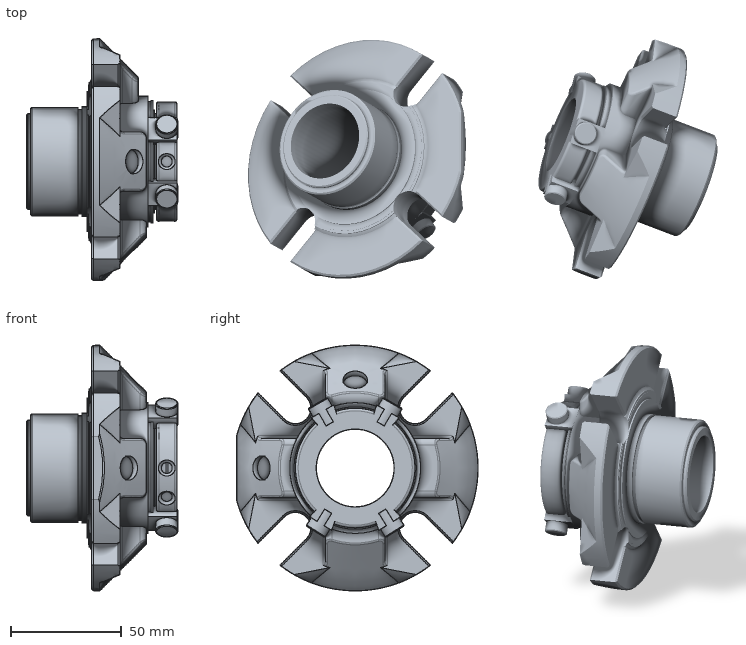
import cadquery as cq
import math


bore_d = 35.0
sleeve_tip_x = -29.25
sleeve_tip_d = 43.18
sleeve_tip_chamfer = 0.6
sleeve_body_x = -27.6
sleeve_body_d = 48.97
sleeve_body_chamfer = 0.7
groove_x = -6.0
groove_d = 47.19
shoulder_x = -4.35
shoulder_d = 49.61
seal_face_x = -1.95
seal_face_d = 63.0
pilot_x = -1.35
pilot_d = 71.2
pilot_face_d = 68.9
pilot_face_step = 0.15
pilot_flare = 1.45

flange_d = 110.87
flange_t = 12.8
flange_edge_chamfer = 0.8
part_width = 109.03
flat_y = flange_d / 2 - part_width
flat_edge_chamfer = 0.45
lug_angles = (0, 90, 180, 270)

cone_start_x = 3.7

facet_apex_half = 19.7
facet_outer_half = 27.6
facet_inner_half = 11.4

slot_offset_angle = 45
slot_w = 14.0
slot_end_r = 38.2

hub_d = 59.0
hub_end_x = 25.5
rib_half_w = 13.4
rib_end_x = 24.8
short_rib_end_x = 21.2
short_rib_angle = 180
rib_corner_r = 3.0
rib_edge_r = 1.2
rib_root_r = 1.2

port_d = 11.0
port_depth = 3.0
ports = ((0, 16.85), (90, 19.3))

plate_d = 54.4
plate_end_x = 26.8
ring_d = 55.2
ring_end_x = 27.8
inner_ring_d = 46.6
inner_ring_end_x = 28.5
neck_d = 43.43
collar_start_x = 29.25
collar_end_x = 38.6
collar_d = 53.92
collar_fillet_r = 1.2

clip_angles = (60, 120, 238, -58)
clip_undercut = 13.0
clip_w = 11.8
clip_inner_r = 23.0
clip_outer_r = 29.5
screw_head_d = 10.0
screw_head_top_r = 33.85
screw_head_chamfer = 0.4
part_length = 68.21
screw_x = sleeve_tip_x + part_length - screw_head_d / 2

set_screw_angles = (-30.5, 0, 90)
set_screw_d = 4.92
set_screw_mouth_d = 7.6
set_screw_recess = 1.5
driver_slot_w = 0.9
driver_slot_depth = 0.6
slotted_angle = 0

flange_r = flange_d / 2
overlap = 1.0
far = 2 * flange_d


def cone_r(x):
    """Radius of the 45 degree cone at a given X."""
    return flange_r - (x - cone_start_x)


def turn(solid, angle):
    """Swing a solid about X from -Y (0 degrees) towards +Z (90 degrees)."""
    return solid.rotate((0, 0, 0), (1, 0, 0), -angle)


def disc(x_start, x_end, diameter):
    """Round disc about the X axis."""
    return cq.Workplane("YZ", origin=(x_start, 0, 0)).circle(diameter / 2).extrude(x_end - x_start)


def turned_profile(points):
    """Solid of revolution about the X axis from (X, radius) points."""
    return cq.Workplane("XY").polyline(points).close().revolve(360, (0, 0, 0), (1, 0, 0))


def radial_disc(x, r_inner, r_outer, diameter):
    """Round disc standing along the -Y radius."""
    plane = cq.Workplane("XZ", origin=(x, -r_inner, 0))
    return plane.circle(diameter / 2).extrude(r_outer - r_inner)


def facet_half_space():
    """Block on the outer side of the facet on the +Z side of the -Y lug."""

    def point(x, r, z):
        return cq.Vector(x, -math.sqrt(r ** 2 - z ** 2), z)

    apex = point(cone_start_x, flange_r, facet_apex_half)
    outer = point(flange_t, flange_r, facet_outer_half)
    inner = point(flange_t, cone_r(flange_t), facet_inner_half)
    to_outer = outer - apex
    normal = (inner - apex).cross(to_outer)
    plane = cq.Plane(origin=apex.toTuple(), xDir=to_outer.toTuple(), normal=normal.toTuple())
    return cq.Workplane(plane).rect(far, far).extrude(flange_d)


def lug_cone_cutter():
    """Material outside the cone on the -Y lug: between the facets on the flange, everywhere on the rib."""
    start_x = cone_start_x - overlap
    end_x = hub_end_x + overlap
    outer_r = cone_r(start_x)
    outside_cone = turned_profile([(start_x, outer_r), (end_x, outer_r), (end_x, cone_r(end_x))])
    upper = facet_half_space()
    between_facets = upper.intersect(upper.mirror("XY"))
    on_flange = cq.Workplane("XY").box(flange_t, flange_d, flange_d)
    on_flange = on_flange.translate((flange_t / 2, -flange_d / 2, 0))
    rib_length = end_x - flange_t
    on_rib = cq.Workplane("XY").box(rib_length, flange_d, 4 * rib_half_w)
    on_rib = on_rib.translate((flange_t + rib_length / 2, -flange_d / 2, 0))
    return outside_cone.intersect(between_facets.intersect(on_flange).union(on_rib))


def bolt_slot():
    """Radial slot with a round inner end, along -Y and open at the rim."""
    length = flange_d
    depth = 3 * flange_t
    plane = cq.Workplane("YZ", origin=(-flange_t, 0, 0))
    straight = plane.center(-slot_end_r - length / 2, 0).rect(length, slot_w).extrude(depth)
    round_end = plane.center(-slot_end_r, 0).circle(slot_w / 2).extrude(depth)
    return straight.union(round_end)


def cut_bolt_slots(body):
    for angle in lug_angles:
        body = body.cut(turn(bolt_slot(), angle + slot_offset_angle))
    return body


def make_flange():
    blank = cut_bolt_slots(disc(0, flange_t, 2 * flange_d))
    blank = blank.faces(">X").edges().chamfer(flange_edge_chamfer)
    flange = blank.intersect(disc(0, flange_t, flange_d))
    flat = cq.Workplane("XY").box(far, flange_d, far).translate((0, flat_y - flange_d / 2, 0))
    flange = flange.cut(flat)
    return flange.faces("<X").edges().chamfer(flange_edge_chamfer)


def rib_end(angle):
    """X of the end face of the rib on the lug at the given angle."""
    return short_rib_end_x if angle == short_rib_angle else rib_end_x


def rib_blank(end_x):
    """Square-topped rib on the -Y lug, flared at its root and rounded at its end."""
    bend = math.sqrt(0.5)
    root_x = flange_t + rib_root_r
    root_half_w = rib_half_w + rib_root_r
    root_mid = (root_x - rib_root_r * bend, root_half_w - rib_root_r * bend)
    return (
        cq.Workplane("XZ")
        .moveTo(flange_t - overlap, -root_half_w)
        .lineTo(flange_t, -root_half_w)
        .threePointArc((root_mid[0], -root_mid[1]), (root_x, -rib_half_w))
        .lineTo(end_x, -rib_half_w)
        .lineTo(end_x, rib_half_w)
        .lineTo(root_x, rib_half_w)
        .threePointArc(root_mid, (flange_t, root_half_w))
        .lineTo(flange_t - overlap, root_half_w)
        .close()
        .extrude(cone_r(flange_t) + overlap)
        .edges(">X and |Y")
        .fillet(rib_corner_r)
    )


def rib_edge_trimmer(end_x):
    """Sliver that is removed to round the edge between the cone and the flanks of a rib."""
    cone = turned_profile([(flange_t, 0), (flange_t, cone_r(flange_t)), (end_x, cone_r(end_x)), (end_x, 0)])
    sharp_rib = rib_blank(end_x).intersect(cone)
    rounded_rib = sharp_rib.faces("%CONE").edges("not <X").fillet(rib_edge_r)
    return sharp_rib.cut(rounded_rib)


def make_mounting_bosses():
    pilot_r = pilot_d / 2
    rim_x = pilot_x + pilot_face_step
    flare_r = pilot_r + pilot_flare
    pilot = turned_profile([
        (pilot_x, 0),
        (pilot_x, pilot_face_d / 2),
        (rim_x, pilot_face_d / 2),
        (rim_x, pilot_r),
        (-pilot_flare / 2, pilot_r),
        (0, flare_r),
        (flange_edge_chamfer, flare_r),
        (flange_edge_chamfer, 0),
    ])
    return cut_bolt_slots(pilot.union(disc(seal_face_x, overlap, seal_face_d)))


def make_sleeve():
    tip = disc(sleeve_tip_x, 0, sleeve_tip_d).faces("<X").edges().chamfer(sleeve_tip_chamfer)
    body = disc(sleeve_body_x, groove_x, sleeve_body_d)
    body = body.faces("<X").edges().chamfer(sleeve_body_chamfer)
    groove = disc(groove_x, shoulder_x, groove_d)
    shoulder = disc(shoulder_x, 0, shoulder_d)
    return tip.union(body).union(groove).union(shoulder)


def make_collar():
    neck = disc(hub_end_x - overlap, collar_end_x, neck_d)
    plate = disc(hub_end_x - overlap, plate_end_x, plate_d)
    ring = disc(plate_end_x, ring_end_x, ring_d)
    collar = disc(collar_start_x, collar_end_x, collar_d).edges().fillet(collar_fillet_r)
    inner_ring = disc(ring_end_x, inner_ring_end_x, inner_ring_d)
    return neck.union(plate).union(ring).union(inner_ring).union(collar)


def make_clip():
    """Setting clip along -Y with its cap screw head."""
    height = clip_outer_r - clip_inner_r
    outer_half_w = clip_w / 2
    inner_half_w = outer_half_w - height * math.tan(math.radians(clip_undercut))
    block = (
        cq.Workplane("YZ", origin=(hub_end_x, 0, 0))
        .polyline([
            (-clip_outer_r, -outer_half_w),
            (-clip_outer_r, outer_half_w),
            (-clip_inner_r, inner_half_w),
            (-clip_inner_r, -inner_half_w),
        ])
        .close()
        .extrude(collar_end_x - hub_end_x)
    )
    head = radial_disc(screw_x, clip_inner_r, screw_head_top_r, screw_head_d)
    head = head.faces("<Y").edges().chamfer(screw_head_chamfer)
    return block.union(head)


def set_screw_pocket(angle):
    """Conical recess along -Y whose floor is the top of the set screw."""
    collar_r = collar_d / 2
    floor_r = collar_r - set_screw_recess
    pocket = (
        cq.Workplane("XZ", origin=(screw_x, -floor_r, 0))
        .circle(set_screw_d / 2)
        .workplane(offset=set_screw_recess)
        .circle(set_screw_mouth_d / 2)
        .loft(ruled=True)
    )
    if angle == slotted_angle:
        slot = cq.Workplane("XY").box(driver_slot_w, 2 * driver_slot_depth, set_screw_d)
        slot = slot.translate((screw_x, -floor_r, 0))
        pocket = pocket.union(slot.intersect(radial_disc(screw_x, 0, collar_r, set_screw_d)))
    return pocket


def port_pocket(mouth_x):
    """Blind port square to the cone on the -Y lug."""
    cone_normal = (1, -1, 0)
    plane = cq.Plane(origin=(mouth_x, -cone_r(mouth_x), 0), xDir=(0, 0, 1), normal=cone_normal)
    floor = cq.Workplane(plane).workplane(offset=-port_depth)
    return floor.circle(port_d / 2).extrude(port_depth + port_d)


def make_gland():
    """Flange, hub and ribs, with the ports in the cone."""
    gland = make_flange().union(disc(0, hub_end_x, hub_d))
    for angle in lug_angles:
        gland = gland.union(turn(rib_blank(rib_end(angle)), angle))
    for angle in lug_angles:
        gland = gland.cut(turn(lug_cone_cutter(), angle))
    gland = gland.faces("<Y").edges(">X").chamfer(flat_edge_chamfer)
    for angle in lug_angles:
        gland = gland.cut(turn(rib_edge_trimmer(rib_end(angle)), angle))
    for angle, mouth_x in ports:
        gland = gland.cut(turn(port_pocket(mouth_x), angle))
    return gland


def make_drive_end():
    """Collar with its clips and set screw recesses."""
    drive_end = make_collar()
    for angle in clip_angles:
        drive_end = drive_end.union(turn(make_clip(), angle))
    for angle in set_screw_angles:
        drive_end = drive_end.cut(turn(set_screw_pocket(angle), angle))
    return drive_end


gland = make_gland()
part = gland.union(make_mounting_bosses())
part = part.union(make_sleeve())
part = part.union(make_drive_end())
result = part.cut(disc(sleeve_tip_x - overlap, collar_end_x + overlap, bore_d))